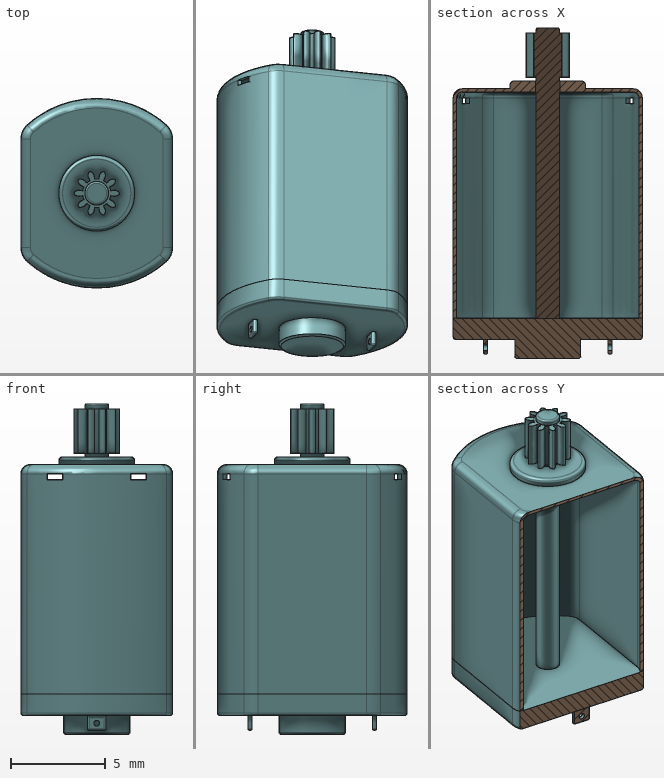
import cadquery as cq
import math


case_width = 8.0
case_length = 10.0
crown_radius = 5.5
corner_radius = 1.0

cap_height = 1.14
can_top = 13.25
collar_height = 0.4
shaft_top = 16.45
pinion_bottom = 13.83
pinion_height = 2.35

wall = 0.2
can_edge_radius = 0.5
collar_diameter = 4.0
collar_edge_radius = 0.2
window_width = 0.8
window_height = 0.3
window_offset = 2.2

cap_edge_radius = 0.15
boss_diameter = 3.5
boss_height = 1.0
boss_edge_chamfer = 0.1

terminal_width = 1.0
terminal_thickness = 0.23
terminal_length = 0.77
terminal_offset = 3.28
terminal_tip_radius = 0.1
terminal_hole_diameter = 0.3
terminal_hole_depth = 0.4

shaft_diameter = 1.25
shaft_edge_radius = 0.1
gear_module = 0.2
tooth_count = 10
pressure_angle = math.radians(20)
addendum = gear_module
dedendum = 1.25 * gear_module
tip_rounding = 0.1
flank_points = 3


def case_outline(inset, z):
    """Closed case outline at height z, moved inward by inset."""
    half_width = case_width / 2 - inset
    half_length = case_length / 2 - inset
    crown = crown_radius - inset
    corner = corner_radius - inset
    crown_centre = half_length - crown
    corner_x = half_width - corner
    corner_y = crown_centre + math.sqrt((crown - corner) ** 2 - corner_x**2)

    crown_angle = math.atan2(corner_y - crown_centre, corner_x)
    touch_x = corner_x + corner * math.cos(crown_angle)
    touch_y = corner_y + corner * math.sin(crown_angle)
    mid_x = corner_x + corner * math.cos(crown_angle / 2)
    mid_y = corner_y + corner * math.sin(crown_angle / 2)

    return (
        cq.Workplane("XY", origin=(0, 0, z))
        .moveTo(half_width, -corner_y)
        .lineTo(half_width, corner_y)
        .threePointArc((mid_x, mid_y), (touch_x, touch_y))
        .threePointArc((0, half_length), (-touch_x, touch_y))
        .threePointArc((-mid_x, mid_y), (-half_width, corner_y))
        .lineTo(-half_width, -corner_y)
        .threePointArc((-mid_x, -mid_y), (-touch_x, -touch_y))
        .threePointArc((0, -half_length), (touch_x, -touch_y))
        .threePointArc((mid_x, -mid_y), (half_width, -corner_y))
        .close()
    )


def make_can():
    """Hollow can, open below, with a collar round the shaft and four windows under the top edge."""
    shell = case_outline(0, cap_height).extrude(can_top - cap_height)
    shell = shell.faces(">Z").edges().fillet(can_edge_radius)
    collar = (
        cq.Workplane("XY", origin=(0, 0, can_top))
        .circle(collar_diameter / 2)
        .extrude(collar_height)
        .faces(">Z")
        .edges()
        .fillet(collar_edge_radius)
    )
    cavity = case_outline(wall, cap_height).extrude(can_top - wall - cap_height)
    cavity = cavity.faces(">Z").edges().fillet(can_edge_radius - wall)
    shaft_hole = (
        cq.Workplane("XY", origin=(0, 0, cap_height))
        .circle(shaft_diameter / 2)
        .extrude(can_top + collar_height - cap_height)
    )
    window_centre_z = can_top - can_edge_radius - window_height / 2
    window_bars = (
        cq.Workplane("XY", origin=(0, 0, window_centre_z))
        .pushPoints([(-window_offset, 0), (window_offset, 0)])
        .box(window_width, case_length, window_height)
    )
    return shell.union(collar).cut(cavity).cut(shaft_hole).cut(window_bars)


def make_cap():
    """End cap closing the can, with a round boss below."""
    plate = case_outline(0, 0).extrude(cap_height)
    plate = plate.faces("<Z").edges().fillet(cap_edge_radius)
    boss = (
        cq.Workplane("XY")
        .circle(boss_diameter / 2)
        .extrude(-boss_height)
        .faces("<Z")
        .edges()
        .chamfer(boss_edge_chamfer)
    )
    return plate.union(boss)


def make_terminal(y):
    """Flat solder tab hanging from the end cap, with rounded sides and tip."""
    blade = (
        cq.Workplane("XY", origin=(0, y, 0))
        .slot2D(terminal_width, terminal_thickness)
        .extrude(-terminal_length)
        .faces("<Z")
        .edges()
        .fillet(terminal_tip_radius)
    )
    hole = (
        cq.Workplane("XZ", origin=(0, y, -terminal_hole_depth))
        .circle(terminal_hole_diameter / 2)
        .extrude(terminal_thickness, both=True)
    )
    return blade.cut(hole)


def polar(radius, angle):
    return (radius * math.cos(angle), radius * math.sin(angle))


def make_pinion():
    """Spur gear with one tooth on +X, each tooth a smooth curve through involute flanks and a round tip."""
    pitch_radius = gear_module * tooth_count / 2
    base_radius = pitch_radius * math.cos(pressure_angle)
    tip_radius = pitch_radius + addendum
    root_radius = pitch_radius - dedendum
    tooth_pitch = 2 * math.pi / tooth_count
    base_half_angle = tooth_pitch / 4 + math.tan(pressure_angle) - pressure_angle

    flank_end_radius = tip_radius - tip_rounding
    flank_end_roll = math.sqrt((flank_end_radius / base_radius) ** 2 - 1)
    flank = [(root_radius, -base_half_angle)]
    for i in range(flank_points):
        roll = flank_end_roll * i / (flank_points - 1)
        radius = base_radius * math.sqrt(1 + roll**2)
        flank.append((radius, roll - math.atan(roll) - base_half_angle))

    profile = cq.Workplane("XY", origin=(0, 0, pinion_bottom))
    profile = profile.moveTo(*polar(root_radius, -base_half_angle))
    for i in range(tooth_count):
        axis = i * tooth_pitch
        rising = [polar(radius, axis + angle) for radius, angle in flank]
        falling = [polar(radius, axis - angle) for radius, angle in reversed(flank)]
        tooth = [*rising, polar(tip_radius, axis), *falling]
        root_middle = polar(root_radius, axis + tooth_pitch / 2)
        next_root = polar(root_radius, axis + tooth_pitch - base_half_angle)
        profile = profile.spline(tooth[1:], includeCurrent=True).threePointArc(root_middle, next_root)
    return profile.close().extrude(pinion_height)


def make_rotor():
    """Shaft standing on the end cap and passing out through the collar, with the pinion near its end."""
    shaft = (
        cq.Workplane("XY", origin=(0, 0, cap_height))
        .circle(shaft_diameter / 2)
        .extrude(shaft_top - cap_height)
        .faces(">Z")
        .edges()
        .fillet(shaft_edge_radius)
    )
    return shaft.union(make_pinion())


can = make_can()
cap = make_cap()
rotor = make_rotor()
terminals = [make_terminal(side * terminal_offset) for side in (-1, 1)]

result = cq.Compound.makeCompound(
    [can.val(), cap.val(), rotor.val(), *[terminal.val() for terminal in terminals]]
)